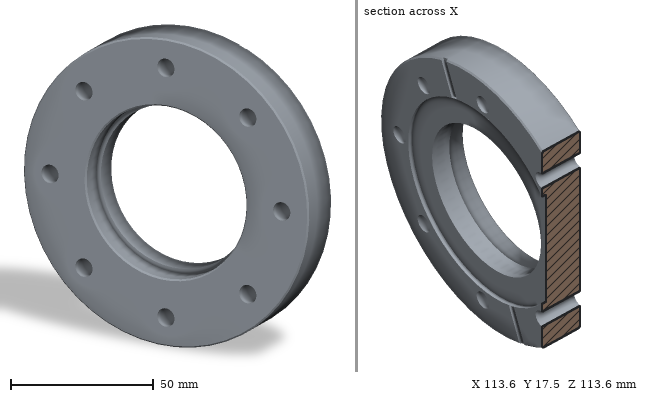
import cadquery as cq
import math

outer_radius = 56.8
thickness = 17.5
edge_chamfer = 0.6
front_y = -thickness / 2
back_y = thickness / 2

bore_radius = 30.1
counterbore_radius = 31.8
counterbore_depth = 8.0

recess_radius = 41.2
recess_depth = 1.7

bolt_count = 8
bolt_circle_radius = 46.1
bolt_hole_radius = 3.4
bolt_pitch_angle = 360 / bolt_count

groove_width = 3.0
groove_depth = 1.0
groove_angle = bolt_pitch_angle / 2


def make_ring():
    """Revolve the (radius, y) section with its chamfers, bore step and gasket recess."""
    step_y = front_y + counterbore_depth
    recess_floor_y = back_y - recess_depth
    section = [
        (counterbore_radius + edge_chamfer, front_y),
        (outer_radius - edge_chamfer, front_y),
        (outer_radius, front_y + edge_chamfer),
        (outer_radius, back_y - edge_chamfer),
        (outer_radius - edge_chamfer, back_y),
        (recess_radius, back_y),
        (recess_radius, recess_floor_y),
        (bore_radius, recess_floor_y),
        (bore_radius, step_y),
        (counterbore_radius, step_y),
        (counterbore_radius, front_y + edge_chamfer),
    ]
    ring = cq.Workplane("XY").polyline(section).close().revolve(360, (0, 0, 0), (0, 1, 0))
    return ring.rotate((0, 0, 0), (0, 1, 0), -90)


def make_bolt_holes():
    """Through holes, one of them straight above the axis."""
    centres = []
    for index in range(bolt_count):
        angle = math.radians(index * bolt_pitch_angle)
        centres.append((bolt_circle_radius * math.sin(angle), bolt_circle_radius * math.cos(angle)))
    return (
        cq.Workplane("XZ", origin=(0, back_y, 0))
        .pushPoints(centres)
        .circle(bolt_hole_radius)
        .extrude(thickness)
    )


def make_leak_groove(angle):
    """Radial slot cutter, open at the rim and at the back face."""
    groove_length = outer_radius - recess_radius
    cutter = cq.Workplane("XY").box(
        groove_width, groove_depth, 2 * groove_length, centered=(True, False, False)
    )
    cutter = cutter.translate((0, back_y - groove_depth, recess_radius))
    return cutter.rotate((0, 0, 0), (0, 1, 0), angle)


result = make_ring().cut(make_bolt_holes())
for opposite in (0, 180):
    result = result.cut(make_leak_groove(groove_angle + opposite))